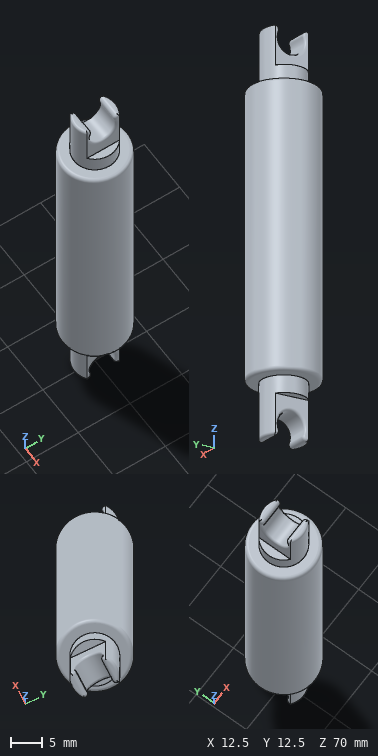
import cadquery as cq

total_length = 70.0
body_diameter = 12.5
body_length = 50.0
body_edge_radius = 0.7

neck_diameter = 8.0
neck_length = 3.0

fork_thickness = 4.9
seat_radius = 2.5
seat_depth = 2.0
fork_edge_radius = 0.5
lip_radius = 0.8

half_length = total_length / 2
shoulder_z = body_length / 2
flat_start_z = shoulder_z + neck_length
flat_length = half_length - flat_start_z
seat_z = half_length - seat_depth


def make_body():
    """Main cylinder with rounded rims."""
    body = cq.Workplane("XY").cylinder(body_length, body_diameter / 2)
    return body.edges("%CIRCLE").fillet(body_edge_radius)


def make_upper_fork():
    """Neck ending in a flat-sided fork with an open round seat along X."""
    neck = cq.Workplane("XY").circle(neck_diameter / 2).extrude(flat_start_z)
    blade = (
        cq.Workplane("XY", origin=(0, 0, flat_start_z))
        .rect(fork_thickness, neck_diameter)
        .extrude(flat_length)
    )
    seat = (
        cq.Workplane("YZ", origin=(0, 0, seat_z))
        .circle(seat_radius)
        .extrude(neck_diameter, both=True)
    )
    blade = blade.cut(seat)

    mouth_edges = cq.selectors.BoxSelector(
        (-fork_thickness, -seat_radius, half_length - seat_depth / 2),
        (fork_thickness, seat_radius, half_length + seat_depth / 2),
    )
    blade = blade.edges("|X").edges(mouth_edges).fillet(lip_radius)
    blade = blade.edges("%CIRCLE and (<X or >X)").fillet(fork_edge_radius)

    envelope = cq.Workplane("XY").circle(neck_diameter / 2).extrude(half_length)
    envelope = envelope.faces(">Z").edges().fillet(fork_edge_radius)
    return neck.union(blade.intersect(envelope))


upper_fork = make_upper_fork()
lower_fork = upper_fork.mirror("XY")
result = make_body().union(upper_fork).union(lower_fork)